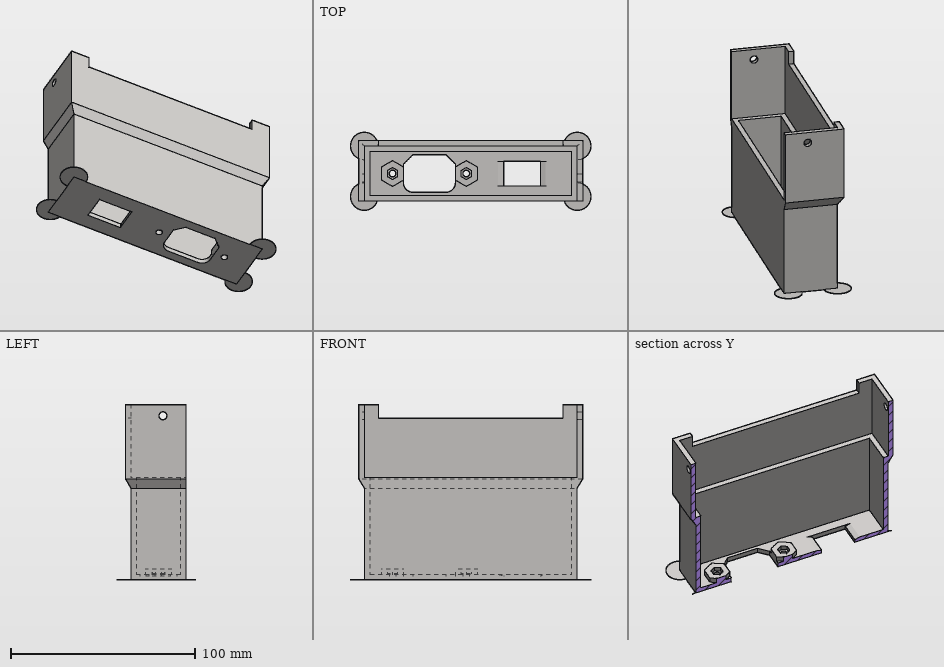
import cadquery as cq

wall = 3.0
body_width = 115.47
body_depth = 29.87
floor_thickness = 3.0
total_height = 95.0
ledge_height = 55.4

flare_start_height = 49.7
flare_end_height = 54.8

notch_width = 100.0
notch_depth = 7.3

side_hole_diameter = 4.2
side_hole_y = 12.5
side_hole_drop = 6.0

foot_diameter = 15.0
foot_thickness = 0.3
foot_spacing_x = body_width
foot_spacing_y = 27.47

inlet_x = -22.4
inlet_width = 28.0
inlet_depth = 20.2
inlet_chamfer = 5.0
inlet_radius = 5.0
screw_spacing = 40.0
screw_diameter = 3.5
nut_corner_diameter = 6.5
nut_depth = 2.5
holder_corner_diameter = 14.0
holder_height = 3.0
holder_top = floor_thickness + holder_height

hexagon_sides = 6
hexagon_turn = 180 / hexagon_sides

switch_x = 27.8
switch_width = 19.8
switch_top_width = 25.8
switch_depth = 13.3
switch_bevel_height = 0.9

upper_width = body_width + 2 * wall
upper_depth = body_depth + wall
cavity_width = body_width - 2 * wall
cavity_depth = body_depth - 2 * wall
cavity_center_y = body_depth / 2
foot_center_y = body_depth - foot_spacing_y / 2
screw_xs = [inlet_x - screw_spacing / 2, inlet_x + screw_spacing / 2]


def block(width, depth, bottom, top, front_y=0.0):
    """Box centred in X, starting at front_y and spanning bottom to top."""
    box = cq.Workplane("XY").box(width, depth, top - bottom, centered=(True, False, False))
    return box.translate((0, front_y, bottom))


def hexagon(x, corner_diameter, bottom, height):
    """Hexagonal prism on the cavity centre line with corners facing front and back."""
    prism = cq.Workplane("XY").polygon(hexagon_sides, corner_diameter).extrude(height)
    prism = prism.rotate((0, 0, 0), (0, 0, 1), hexagon_turn)
    return prism.translate((x, cavity_center_y, bottom))


def make_flare():
    """Tapered transition from the lower body to the upper part."""
    return (
        cq.Workplane("XY", origin=(0, 0, flare_start_height))
        .center(0, body_depth / 2)
        .rect(body_width, body_depth)
        .workplane(offset=flare_end_height - flare_start_height)
        .center(0, wall / 2)
        .rect(upper_width, upper_depth)
        .loft(ruled=True, combine=True)
    )


def make_shell():
    """Box with a stepped cavity, open at the top and at the upper front."""
    shell = block(body_width, body_depth, 0, flare_end_height)
    shell = shell.union(make_flare())
    shell = shell.union(block(upper_width, upper_depth, flare_end_height, total_height))
    shell = shell.cut(block(cavity_width, cavity_depth, floor_thickness, total_height, wall))
    return shell.cut(block(body_width, body_depth, ledge_height, total_height))


def make_notch():
    """Cutter for the notch in the middle of the back wall."""
    return block(notch_width, wall, total_height - notch_depth, total_height, body_depth)


def make_side_holes():
    """Cylinder running through both side walls."""
    return (
        cq.Workplane("YZ", origin=(-upper_width / 2, 0, 0))
        .center(side_hole_y, total_height - side_hole_drop)
        .circle(side_hole_diameter / 2)
        .extrude(upper_width)
    )


def make_feet():
    """Four thin discs around the bottom corners."""
    return (
        cq.Workplane("XY")
        .center(0, foot_center_y)
        .rect(foot_spacing_x, foot_spacing_y, forConstruction=True)
        .vertices()
        .circle(foot_diameter / 2)
        .extrude(foot_thickness)
    )


def make_inlet_opening():
    """Rectangle with chamfered back corners and rounded front corners."""
    opening = cq.Workplane("XY").rect(inlet_width, inlet_depth).extrude(holder_top)
    opening = opening.edges("|Z and >Y").chamfer(inlet_chamfer)
    opening = opening.edges("|Z and <Y").fillet(inlet_radius)
    return opening.translate((inlet_x, cavity_center_y, 0))


def make_switch_opening():
    """Straight slot through the floor with its left and right top edges bevelled."""
    half_bottom = switch_width / 2
    half_top = switch_top_width / 2
    bevel_bottom = floor_thickness - switch_bevel_height
    return (
        cq.Workplane("XZ")
        .moveTo(-half_bottom, 0)
        .lineTo(half_bottom, 0)
        .lineTo(half_bottom, bevel_bottom)
        .lineTo(half_top, floor_thickness)
        .lineTo(-half_top, floor_thickness)
        .lineTo(-half_bottom, bevel_bottom)
        .close()
        .extrude(switch_depth / 2, both=True)
        .translate((switch_x, cavity_center_y, 0))
    )


def make_screw_hole(x):
    """Clearance hole through the floor and the nut holder."""
    hole = cq.Workplane("XY").circle(screw_diameter / 2).extrude(holder_top)
    return hole.translate((x, cavity_center_y, 0))


result = make_shell().cut(make_notch()).cut(make_side_holes()).union(make_feet())
for screw_x in screw_xs:
    result = result.union(hexagon(screw_x, holder_corner_diameter, floor_thickness, holder_height))
    result = result.cut(hexagon(screw_x, nut_corner_diameter, holder_top - nut_depth, nut_depth))
    result = result.cut(make_screw_hole(screw_x))
result = result.cut(make_inlet_opening()).cut(make_switch_opening())